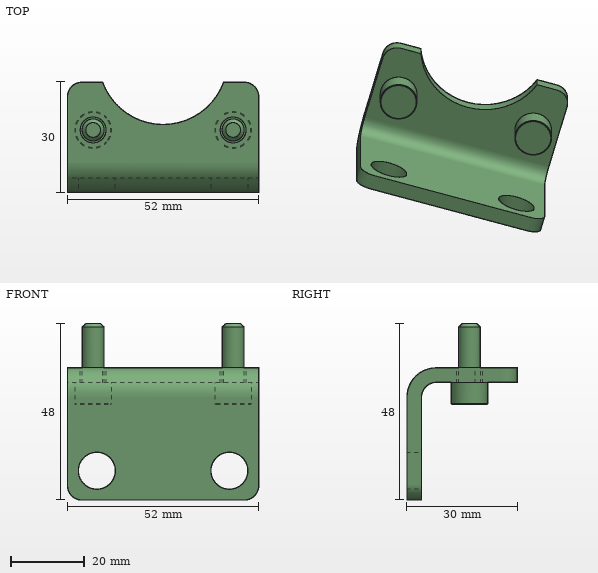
import cadquery as cq

width = 52.0
depth = 30.0
wall_height = 36.0
thickness = 4.0
bend_radius = 2 * thickness
corner_radius = 4.0

mount_hole_diameter = 10.0
mount_hole_inset = 8.0

notch_radius = 17.45
notch_depth = 11.5

pin_diameter = 6.0
pin_hole_diameter = 7.0
pin_projection = 12.0
pin_spacing = 38.0
pin_setback = 17.0
tip_chamfer = 1.0
head_diameter = 10.0
head_height = 6.0
head_edge_chamfer = 0.2

shelf_underside = wall_height - thickness
mount_hole_x = width / 2 - mount_hole_inset
pin_positions = [(side * pin_spacing / 2, pin_setback) for side in (-1, 1)]


def make_bent_plate():
    """L profile extruded along X, with concentric bend radii and rounded free corners."""
    plate = (
        cq.Workplane("YZ")
        .moveTo(0, 0)
        .lineTo(0, wall_height - bend_radius)
        .radiusArc((bend_radius, wall_height), bend_radius)
        .lineTo(depth, wall_height)
        .lineTo(depth, shelf_underside)
        .lineTo(bend_radius, shelf_underside)
        .radiusArc((thickness, wall_height - bend_radius), -(bend_radius - thickness))
        .lineTo(thickness, 0)
        .close()
        .extrude(width / 2, both=True)
    )
    plate = plate.faces(">Y").edges("|Z").fillet(corner_radius)
    return plate.faces("<Z").edges("|Y").fillet(corner_radius)


def make_mount_holes():
    """Cutters through the upright wall."""
    return (
        cq.Workplane("XZ")
        .pushPoints([(-mount_hole_x, mount_hole_inset), (mount_hole_x, mount_hole_inset)])
        .circle(mount_hole_diameter / 2)
        .extrude(-thickness)
    )


def make_shelf_cutter(positions, diameter):
    """Vertical round cutters through the shelf."""
    return (
        cq.Workplane("XY", origin=(0, 0, shelf_underside))
        .pushPoints(positions)
        .circle(diameter / 2)
        .extrude(thickness)
    )


def make_bracket():
    notch_centre = (0, depth - notch_depth + notch_radius)
    return (
        make_bent_plate()
        .cut(make_mount_holes())
        .cut(make_shelf_cutter([notch_centre], 2 * notch_radius))
        .cut(make_shelf_cutter(pin_positions, pin_hole_diameter))
    )


def make_pin(x, y):
    """Pin whose head bears on the underside of the shelf."""
    head = (
        cq.Workplane("XY", origin=(x, y, shelf_underside))
        .circle(head_diameter / 2)
        .extrude(-head_height)
        .faces("<Z")
        .chamfer(head_edge_chamfer)
    )
    shank = (
        cq.Workplane("XY", origin=(x, y, shelf_underside))
        .circle(pin_diameter / 2)
        .extrude(thickness + pin_projection)
        .faces(">Z")
        .chamfer(tip_chamfer)
    )
    return head.union(shank)


bracket = make_bracket()
pins = [make_pin(x, y) for x, y in pin_positions]

result = cq.Compound.makeCompound([bracket.val(), *[pin.val() for pin in pins]])